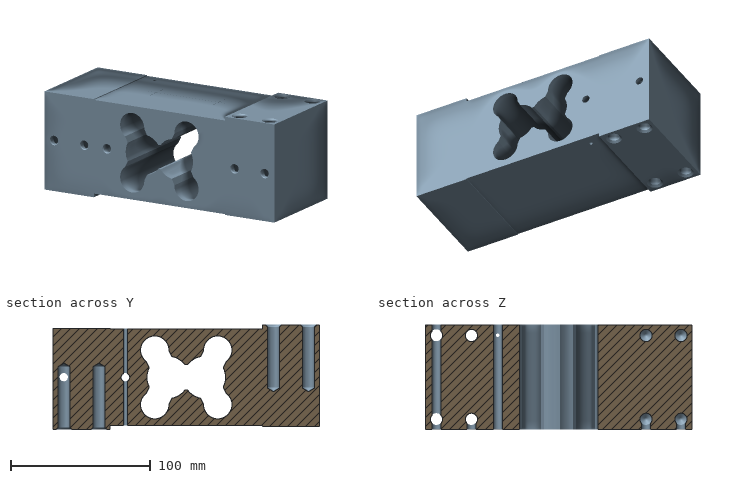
import cadquery as cq
import math

length = 191.0
width = 75.0
height = 75.0
pad_length = 41.0
waist_height = 69.5
low_step = 0.5

lobe_diameter = 20.0
lobe_x = 22.5
lobe_z = 19.5
core_diameter = 30.0
core_x = 13.0
channel_width = 17.8
throat_height = 18.0
throat_width = 7.6

mount_inner_x = 62.5
mount_pitch = 25.0
mount_y = 30.0
mount_diameter = 8.4
mount_rim_diameter = 11.5
mount_depth = 45.0
drill_tip_angle = 118.0

side_diameter = 6.0
side_rim_diameter = 7.0
vent_x = -43.5
vent_diameter = 2.5

mark_width = 0.2
mark_depth = 0.2
mark_center_x = -0.2
mark_center_y = 2.3
mark_length = 66.0
cross_spacing = 51.8
cross_length = 18.3

half_length = length / 2
half_width = width / 2
half_height = height / 2
half_waist = waist_height / 2
low_pad = half_waist + low_step
pad_edge = half_length - pad_length
mount_outer_x = mount_inner_x + mount_pitch
overshoot = 2.0


def bar_along_y(x_size, z_size):
    """Block centred on the origin that runs past both Y faces."""
    return cq.Workplane("XY").box(x_size, width + 2 * overshoot, z_size)


def bore_along_y(diameter, x, z):
    """Round cutter along Y that runs past both Y faces."""
    bore = cq.Workplane("XZ").circle(diameter / 2).extrude(half_width + overshoot, both=True)
    return bore.translate((x, 0, z))


def revolved_drill(profile):
    """Turn a (radius, depth) profile about Z, with depth measured down from z = 0."""
    points = [(radius, -depth) for radius, depth in profile]
    return cq.Workplane("XZ").polyline(points).close().revolve(360, (0, 0, 0), (0, 1, 0))


def make_body():
    """Side outline, the same when turned half a turn about Y."""
    upper = [
        (-half_length, low_pad),
        (-pad_edge, low_pad),
        (-pad_edge, half_waist),
        (pad_edge, half_waist),
        (pad_edge, half_height),
        (half_length, half_height),
    ]
    lower = [(-x, -z) for x, z in upper]
    outline = cq.Workplane("XZ").polyline(upper + lower).close()
    return outline.extrude(half_width, both=True)


def make_cavity():
    """Four corner lobes joined by channels to two overlapping core bores."""
    cavity = bar_along_y(throat_width, throat_height)
    channel_run = lobe_x - core_x
    channel_length = math.hypot(channel_run, lobe_z)
    channel_angle = math.degrees(math.atan2(lobe_z, channel_run))
    for x_side in (-1, 1):
        cavity = cavity.union(bore_along_y(core_diameter, x_side * core_x, 0))
        for z_side in (-1, 1):
            cavity = cavity.union(bore_along_y(lobe_diameter, x_side * lobe_x, z_side * lobe_z))
            channel = (
                bar_along_y(channel_length, channel_width)
                .rotate((0, 0, 0), (0, 1, 0), -x_side * z_side * channel_angle)
                .translate((x_side * (lobe_x + core_x) / 2, 0, z_side * lobe_z / 2))
            )
            cavity = cavity.union(channel)
    return cavity


def make_mount_holes():
    """Countersunk blind holes in the +X pad, repeated upside down in the -X pad."""
    radius = mount_diameter / 2
    rim_radius = mount_rim_diameter / 2
    tip_length = radius / math.tan(math.radians(drill_tip_angle / 2))
    drill = revolved_drill([
        (0, 0),
        (rim_radius, 0),
        (radius, rim_radius - radius),
        (radius, mount_depth),
        (0, mount_depth + tip_length),
    ])
    top_holes = cq.Workplane("XY")
    for x in (mount_inner_x, mount_outer_x):
        for y in (-mount_y, mount_y):
            top_holes = top_holes.union(drill.translate((x, y, half_height)))
    bottom_holes = top_holes.rotate((0, 0, 0), (0, 1, 0), 180)
    return top_holes.union(bottom_holes)


def make_side_hole(x, depth):
    """Chamfered hole drilled into the -Y face."""
    radius = side_diameter / 2
    rim_radius = side_rim_diameter / 2
    drill = revolved_drill([
        (0, 0),
        (rim_radius, 0),
        (radius, rim_radius - radius),
        (radius, depth),
        (0, depth),
    ])
    return drill.rotate((0, 0, 0), (1, 0, 0), 90).translate((x, -half_width, 0))


def make_side_holes():
    """Two holes pass right through; the other three end inside a mounting hole."""
    through_depth = width + overshoot
    blind_depth = half_width - mount_y
    holes = cq.Workplane("XY")
    for x in (-mount_outer_x, vent_x):
        holes = holes.union(make_side_hole(x, through_depth))
    for x in (-mount_inner_x, mount_inner_x, mount_outer_x):
        holes = holes.union(make_side_hole(x, blind_depth))
    return holes


def make_vent():
    vent = cq.Workplane("XY").circle(vent_diameter / 2).extrude(half_height, both=True)
    return vent.translate((vent_x, mount_y, 0))


def make_marks():
    """One long groove with a cross groove near each end."""
    groove_height = 2 * mark_depth
    marks = cq.Workplane("XY").box(mark_length, mark_width, groove_height)
    for side in (-1, 1):
        cross = cq.Workplane("XY").box(mark_width, cross_length, groove_height)
        marks = marks.union(cross.translate((side * cross_spacing / 2, 0, 0)))
    return marks.translate((mark_center_x, mark_center_y, half_waist))


result = (
    make_body()
    .cut(make_cavity())
    .cut(make_mount_holes())
    .cut(make_side_holes())
    .cut(make_vent())
    .cut(make_marks())
)